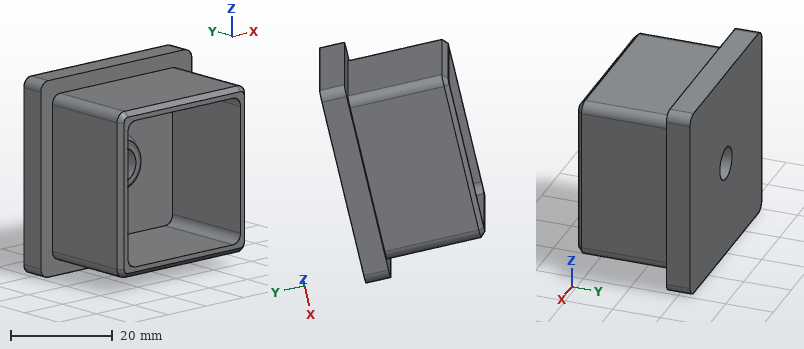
import cadquery as cq

plate_side = 40.0
plate_thickness = 5.0
corner_radius = 2.0

plug_side = 33.8
plug_length = 20.0
plug_wall = 2.0
lead_in_chamfer = 1.0
cavity_side = plug_side - 2 * plug_wall

boss_radius = 5.1
boss_height = 2.0
boss_base_fillet = 1.0
boss_rim_fillet = 0.6
bore_radius = 3.4



def rounded_square_block(side, length):
    """Square block with rounded long edges, running from Y = 0 toward -Y."""
    return cq.Workplane("XZ").rect(side, side).extrude(length).edges("|Y").fillet(corner_radius)


def make_plate():
    return rounded_square_block(plate_side, plate_thickness).translate((0, plate_thickness, 0))


def make_plug():
    outer = rounded_square_block(plug_side, plug_length).faces("<Y").chamfer(lead_in_chamfer)
    return outer.cut(rounded_square_block(cavity_side, plug_length))


def make_boss():
    """Turned boss with a flared foot and a rounded rim, revolved about the Y axis."""
    return (
        cq.Workplane("XY")
        .lineTo(boss_radius + boss_base_fillet, 0)
        .radiusArc((boss_radius, -boss_base_fillet), -boss_base_fillet)
        .lineTo(boss_radius, boss_rim_fillet - boss_height)
        .radiusArc((boss_radius - boss_rim_fillet, -boss_height), boss_rim_fillet)
        .lineTo(0, -boss_height)
        .close()
        .revolve(360, (0, 0, 0), (0, 1, 0))
    )


def make_bore():
    """Through hole along the whole boss and plate."""
    bore = cq.Workplane("XZ").circle(bore_radius).extrude(plate_thickness + boss_height)
    return bore.translate((0, plate_thickness, 0))


result = make_plate().union(make_plug()).union(make_boss()).cut(make_bore())